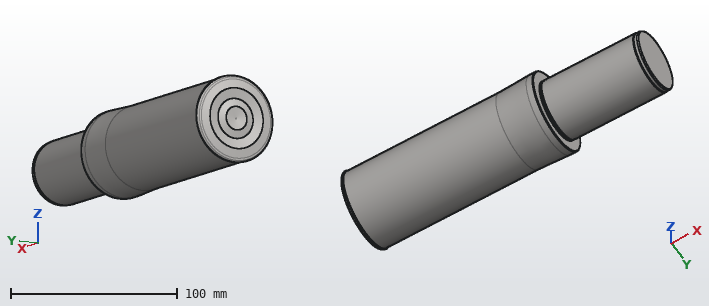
import cadquery as cq
import math

crest_position = 2.8
head_length = 3.2
flare_start = 110.9
collar_start = 133.0
collar_end = 138.0
undercut_length = 1.8
undercut_ramp = 0.6
undercut_end = collar_end + undercut_length
tail_ramp_start = 204.4
tail_ramp_length = 0.5
tail_chamfer_length = 1.0
total_length = 208.0

head_radius = 53.0 / 2
body_radius = 52.0 / 2
collar_radius = 54.0 / 2
shank_radius = 40.0 / 2
relief_radius = 39.5 / 2
tail_end_radius = 19.25
collar_chamfer = 0.5

centre_flat_radius = 0.3
centre_depth = 0.9
inner_crest_radius = 7.2
valley_radius = 12.2
valley_depth = 1.15
outer_crest_radius = 18.5
face_edge_radius = 24.1
face_edge_depth = 0.95

corner_start_radius = 25.4
corner_start_depth = 1.15


def middle_of_tangent_arc(length, height):
    """Axial and radial distances from the end of an arc, where it is parallel to X, to its middle.

    The arc covers the given length along X and the given height in radius.
    """
    arc_radius = (length**2 + height**2) / (2 * height)
    half_angle = math.atan2(height, length)
    return arc_radius * math.sin(half_angle), arc_radius * (1 - math.cos(half_angle))


def revolve_about_x(outline):
    """Close a half section drawn in the XZ plane and turn it about the X axis."""
    return outline.close().revolve(360, (0, 0, 0), (1, 0, 0))


def make_cutting_head():
    middle_length, middle_height = middle_of_tangent_arc(
        crest_position - corner_start_depth, head_radius - corner_start_radius
    )
    outline = (
        cq.Workplane("XZ")
        .moveTo(centre_depth, 0)
        .lineTo(centre_depth, centre_flat_radius)
        .lineTo(0, inner_crest_radius)
        .lineTo(valley_depth, valley_radius)
        .lineTo(0, outer_crest_radius)
        .lineTo(face_edge_depth, face_edge_radius)
        .lineTo(corner_start_depth, corner_start_radius)
        .threePointArc(
            (crest_position - middle_length, head_radius - middle_height),
            (crest_position, head_radius),
        )
        .lineTo(head_length, body_radius)
        .lineTo(head_length, 0)
    )
    return revolve_about_x(outline)


def make_holder():
    outline = (
        cq.Workplane("XZ")
        .moveTo(head_length, 0)
        .lineTo(head_length, body_radius)
        .lineTo(flare_start, body_radius)
        .lineTo(collar_start, collar_radius)
        .lineTo(collar_end - collar_chamfer, collar_radius)
        .lineTo(collar_end, collar_radius - collar_chamfer)
        .lineTo(collar_end, shank_radius)
        .lineTo(collar_end + undercut_ramp, relief_radius)
        .lineTo(undercut_end - undercut_ramp, relief_radius)
        .lineTo(undercut_end, shank_radius)
        .lineTo(tail_ramp_start, shank_radius)
        .lineTo(tail_ramp_start + tail_ramp_length, relief_radius)
        .lineTo(total_length - tail_chamfer_length, relief_radius)
        .lineTo(total_length, tail_end_radius)
        .lineTo(total_length, 0)
    )
    return revolve_about_x(outline)


cutting_head = make_cutting_head()
holder = make_holder()
result = cq.Compound.makeCompound([cutting_head.val(), holder.val()])